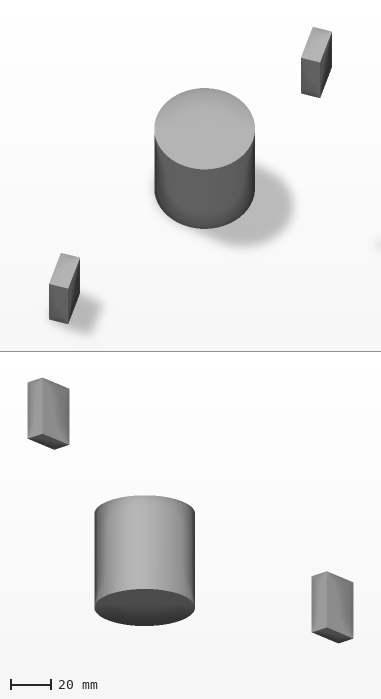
import cadquery as cq

block_width = 10.0
block_depth = 20.0
block_height = 30.0
block_step = 100.0
cylinder_diameter = 50.0
cylinder_height = cylinder_diameter

block_corners = [
    (0, 0, 0),
    (block_step, block_step, block_step),
]

cylinder_center = (block_step / 2, block_step, 0)


def make_block(corner):
    """Upright rectangular block with its minimum corner at the given point."""
    block = cq.Workplane("XY").box(block_width, block_depth, block_height, centered=False)
    return block.translate(corner)


def make_cylinder():
    """Plain upright cylinder."""
    cylinder = cq.Workplane("XY").circle(cylinder_diameter / 2).extrude(cylinder_height)
    return cylinder.translate(cylinder_center)


cylinder = make_cylinder()
blocks = [make_block(corner) for corner in block_corners]

result = cq.Compound.makeCompound([cylinder.val(), *[block.val() for block in blocks]])